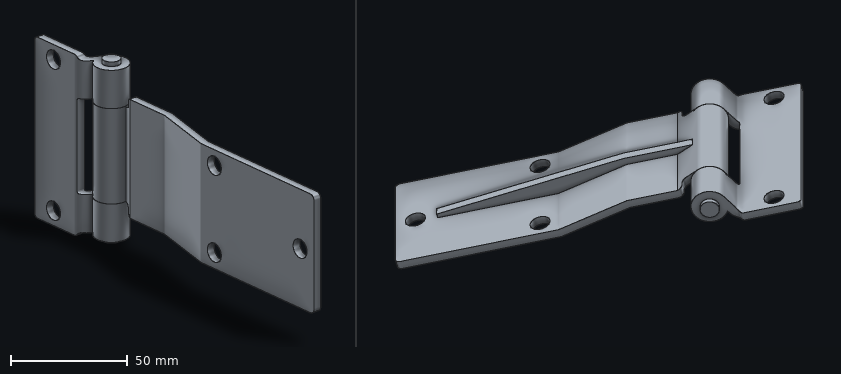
import cadquery as cq
import math

length = 179.0
height = 85.0
sheet = 4.0

axis_x = 39.0
axis_y = 9.1
pin_radius = 4.1
knuckle_radius = pin_radius + sheet
outer_knuckle_top = height / 2 - 2.1
middle_knuckle_top = 22.4

short_bend_x = 25.5
short_bend_inner = 3.0
short_bend_outer = short_bend_inner + sheet
short_neck_x = 27.0
shoulder_end_x = 29.4
short_corner = 1.8
slot_corner = 0.9
short_hole_x = 12.0
short_hole_z = 35.5

long_half_height = 28.0
long_raise = 2 * sheet
long_edge_x = 50.3
neck_bend_x = 52.5
slope_start_x = 74.5
slope_end_x = 106.5
neck_corner = 2.1
end_corner = 2.5
long_hole_x = 115.1
long_hole_z = 20.4
end_hole_x = 170.0

hole_diameter = 8.8

rib_top_y = 15.2
rib_slope_x = 75.7
rib_end_x = 160.2
rib_end_y = 5.9


def direction(angle):
    """Unit vector in the XY plane."""
    return math.cos(angle), math.sin(angle)


def shifted(point, angle, distance):
    """Point moved by a distance along an angle in the XY plane."""
    along_x, along_y = direction(angle)
    return point[0] + distance * along_x, point[1] + distance * along_y


def cylinder_on_axis(radius, bottom, top):
    """Upright cylinder on the hinge axis."""
    base = cq.Workplane("XY").workplane(offset=bottom)
    return base.center(axis_x, axis_y).circle(radius).extrude(top - bottom)


def extrude_centred(profile, tall):
    """Extrude an XY profile evenly above and below Z = 0."""
    return profile.extrude(tall / 2, both=True)


def plate(x_start, x_end, half_height):
    """Rectangular block in X and Z, deep enough to cover the whole hinge in Y."""
    depth = 2 * (axis_y + knuckle_radius)
    return cq.Workplane("XY").box(
        x_end - x_start, depth, 2 * half_height
    ).translate(((x_start + x_end) / 2, 0, 0))


def hole_cutters(centres):
    """Cylinders along Y at the given X, Z centres."""
    depth = axis_y + knuckle_radius
    return cq.Workplane("XZ").pushPoints(centres).circle(hole_diameter / 2).extrude(depth, both=True)


def make_shoulder_cutter():
    """Waste above the S curve that steps the upper plate edge down to the strap."""
    plate_top = height / 2
    drop = plate_top - outer_knuckle_top
    run = shoulder_end_x - short_bend_x
    convex_share = (short_neck_x - short_bend_x) / run
    profile = (
        cq.Workplane("XZ")
        .moveTo(0, plate_top)
        .lineTo(short_bend_x, plate_top)
        .tangentArcPoint((short_neck_x, plate_top - convex_share * drop), relative=False)
        .tangentArcPoint((shoulder_end_x, outer_knuckle_top), relative=False)
        .lineTo(shoulder_end_x, plate_top + drop)
        .lineTo(0, plate_top + drop)
        .close()
    )
    return profile.extrude(axis_y + knuckle_radius, both=True)


def make_short_leaf():
    axis = (axis_x, axis_y)
    bend_centre = (short_bend_x, short_bend_outer)
    span_x = axis_x - bend_centre[0]
    span_y = axis_y - bend_centre[1]
    bend_angle = math.atan2(span_y, span_x) + math.asin(
        (short_bend_inner + knuckle_radius) / math.hypot(span_x, span_y)
    )
    down = -math.pi / 2
    bend_end = down + bend_angle
    bend_middle = down + bend_angle / 2
    strap_normal = bend_end + math.pi

    profile = (
        cq.Workplane("XY")
        .moveTo(0, 0)
        .lineTo(short_bend_x, 0)
        .threePointArc(
            shifted(bend_centre, bend_middle, short_bend_outer),
            shifted(bend_centre, bend_end, short_bend_outer),
        )
        .lineTo(*shifted(axis, strap_normal, pin_radius))
        .lineTo(*shifted(axis, strap_normal, knuckle_radius))
        .lineTo(*shifted(bend_centre, bend_end, short_bend_inner))
        .threePointArc(
            shifted(bend_centre, bend_middle, short_bend_inner),
            (short_bend_x, sheet),
        )
        .lineTo(0, sheet)
        .close()
    )
    leaf = extrude_centred(profile, height)
    leaf = leaf.union(cylinder_on_axis(knuckle_radius, -outer_knuckle_top, outer_knuckle_top))

    knuckle_end = axis_x + knuckle_radius
    wide = plate(0, shoulder_end_x, height / 2).edges("|Y and <X").fillet(short_corner)
    shoulder = make_shoulder_cutter()
    wide = wide.cut(shoulder).cut(shoulder.mirror("XY"))
    outline = wide.union(plate(short_neck_x, knuckle_end, outer_knuckle_top))
    slot = plate(short_neck_x, knuckle_end, middle_knuckle_top)
    outline = outline.cut(slot.edges("|Y and <X").fillet(slot_corner))
    leaf = leaf.intersect(outline)

    leaf = leaf.cut(cylinder_on_axis(pin_radius, -height / 2, height / 2))
    return leaf.cut(hole_cutters([(short_hole_x, side * short_hole_z) for side in (-1, 1)]))


def make_rib():
    profile = cq.Workplane("XY").polyline([
        (axis_x, rib_top_y),
        (rib_slope_x, rib_top_y),
        (rib_end_x, rib_end_y),
        (rib_end_x, sheet),
        (slope_end_x, sheet),
        (slope_start_x, long_raise + sheet),
        (neck_bend_x, long_raise + sheet),
        (axis_x, axis_y),
    ]).close()
    return extrude_centred(profile, sheet)


def make_long_leaf():
    axis = (axis_x, axis_y)
    bend_y = long_raise + sheet
    span_x = neck_bend_x - axis_x
    span_y = bend_y - axis_y
    tangent_angle = math.atan2(span_y, span_x) + math.acos(
        knuckle_radius / math.hypot(span_x, span_y)
    )
    slope_angle = math.atan2(long_raise, slope_end_x - slope_start_x)
    slope_shift = sheet * math.tan(slope_angle / 2)

    profile = cq.Workplane("XY").polyline([
        (length, 0),
        (length, sheet),
        (slope_end_x + slope_shift, sheet),
        (slope_start_x + slope_shift, bend_y),
        (neck_bend_x, bend_y),
        shifted(axis, tangent_angle, knuckle_radius),
        shifted(axis, tangent_angle, pin_radius),
        (neck_bend_x, long_raise),
        (slope_start_x, long_raise),
        (slope_end_x, 0),
    ]).close()
    leaf = extrude_centred(profile, 2 * long_half_height)

    wide = plate(long_edge_x, length, long_half_height)
    wide = wide.edges("|Y and >X").fillet(end_corner).edges("|Y and <X").fillet(neck_corner)
    neck_start = axis_x - knuckle_radius
    outline = wide.union(plate(neck_start, neck_bend_x + neck_corner, middle_knuckle_top))
    inner_corners = cq.selectors.BoxSelector(
        (long_edge_x - neck_corner / 2, -length, -middle_knuckle_top - neck_corner / 2),
        (long_edge_x + neck_corner / 2, length, middle_knuckle_top + neck_corner / 2),
    )
    outline = outline.edges("|Y").edges(inner_corners).fillet(neck_corner)
    leaf = leaf.intersect(outline)

    leaf = leaf.union(cylinder_on_axis(knuckle_radius, -middle_knuckle_top, middle_knuckle_top))
    leaf = leaf.union(make_rib())
    leaf = leaf.cut(cylinder_on_axis(pin_radius, -height / 2, height / 2))
    holes = [(long_hole_x, -long_hole_z), (long_hole_x, long_hole_z), (end_hole_x, 0)]
    return leaf.cut(hole_cutters(holes))


def make_pin():
    return cylinder_on_axis(pin_radius, -height / 2, height / 2)


short_leaf = make_short_leaf()
long_leaf = make_long_leaf()
pin = make_pin()

result = cq.Compound.makeCompound([
    *short_leaf.solids().vals(),
    *long_leaf.solids().vals(),
    pin.val(),
])